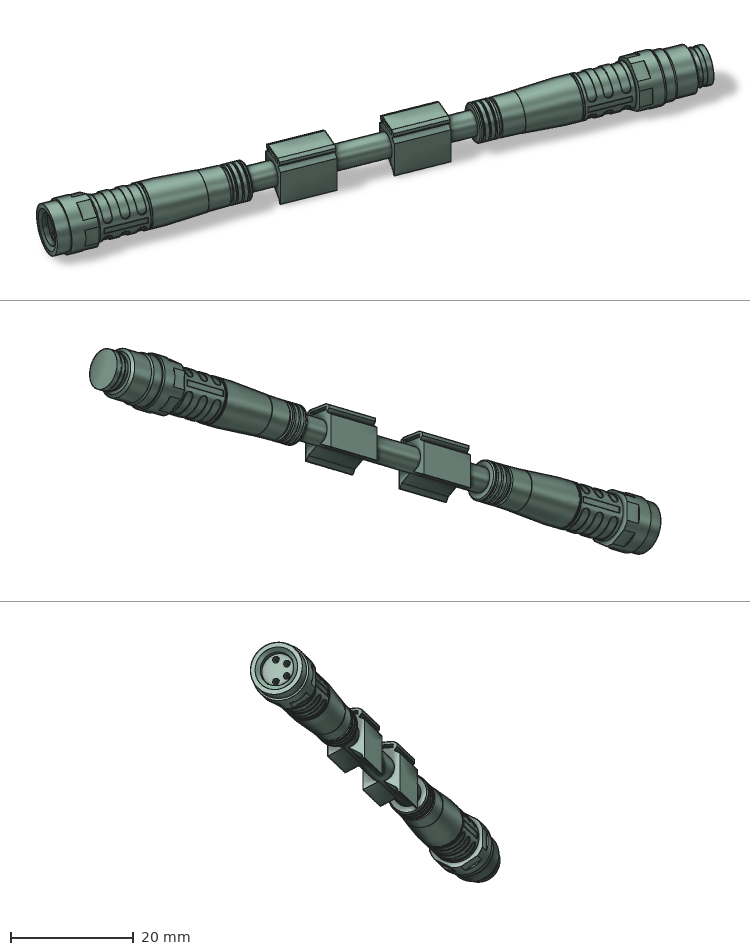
import cadquery as cq
import math

total_length = 116.5
end_y = total_length / 2
cable_diameter = 4.4

grip_diameter = 8.0
grip_recess_diameter = 7.7
taper_start = 12.0
pad_end = 19.3
pad_width = 7.3
pad_thickness = 7.1
taper_end = 23.3
relief_start = 23.9
relief_chamfer_start = 27.0
relief_end = 27.3
relief_diameter = 6.9
relief_end_diameter = 6.4
relief_groove_diameter = 5.9
relief_groove_width = 0.3
relief_groove_centres = (24.5, 25.5, 26.6)
finger_groove_width = 1.6
finger_groove_centres = (1.5, 4.7, 7.6)
finger_groove_gap = 2.6
side_slot_start = 0.7
side_slot_end = 8.5
side_slot_width = 1.0
ring_start = 9.0
ring_end = 9.3

nut_diameter = 9.5
collar_diameter = 8.9
nut_across_flats = 9.0
flat_count = 6

tip_diameter = 6.9
tip_groove_diameter = 6.5
tip_groove_start = 1.0
tip_groove_end = 1.9
plug_neck_diameter = 5.9
sleeve_start = 2.8
sleeve_full = 3.1
sleeve_nose_diameter = 7.2
sleeve_diameter = 8.4
sleeve_end = 6.8
plug_collar_start = 7.1
plug_nut_start = 8.9
plug_nut_nose_diameter = 9.3
plug_nut_full = 9.2
plug_flats_start = 11.3
plug_nut_end = 13.6
plug_gap_diameter = 6.5
plug_grip_start = 14.0

socket_collar_end = 2.5
socket_flats_start = 4.9
socket_nut_end = 7.3
socket_gap_diameter = 5.7
socket_grip_start = 7.8
mouth_diameter = 7.2
insert_diameter = 5.7
mouth_flare_depth = 0.3
mouth_depth = 1.3
contact_diameter = 1.1
contact_depth = 2.3
contact_positions = ((-0.5, 1.9), (-0.5, -1.9), (1.4, 1.0), (1.4, -1.0))

holder_half_width = 3.1
shoulder_height = 2.3
notch_half_width = 2.2
notch_height = 2.9
cap_half_width = 2.7
cap_underside = 3.5
cap_edge_height = 4.1
cap_flat_half_width = 2.0
holder_top = 4.4
leg_bottom = -3.4
leg_throat = -2.0
lip_root_x = 2.5
lip_tip_x = 2.9
lip_bottom = -4.2
holder_length = 10.0
holder_back_ends = (11.9, -8.3)
label_slot_width = 4.0
label_slot_floor = 3.4
label_slot_top = 4.0


def turned(start, end, start_diameter, end_diameter=None):
    """Solid of revolution about Y between two Y stations, straight or tapered."""
    if end_diameter is None:
        end_diameter = start_diameter
    outline = [(0, start), (start_diameter / 2, start), (end_diameter / 2, end), (0, end)]
    return cq.Workplane("XY").polyline(outline).close().revolve(360, (0, 0, 0), (0, 1, 0))


def ring(start, end, outer_diameter, inner_diameter):
    return turned(start, end, outer_diameter).cut(turned(start, end, inner_diameter))


def xz_plane(y):
    """Plane at a Y station whose local axes are X and Z and whose normal is -Y."""
    return cq.Workplane("XZ", origin=(0, y, 0))


def cut_finger_grooves(body):
    """Arched grooves over the top and bottom, stopping short of both sides."""
    half_width = finger_groove_width / 2
    arc_bottom = finger_groove_gap / 2
    shoulder = arc_bottom + half_width
    for centre in finger_groove_centres:
        low_y = centre - half_width
        high_y = centre + half_width
        arch = (
            cq.Workplane("YZ")
            .moveTo(low_y, grip_diameter)
            .lineTo(low_y, shoulder)
            .threePointArc((centre, arc_bottom), (high_y, shoulder))
            .lineTo(high_y, grip_diameter)
            .close()
            .extrude(grip_diameter, both=True)
        )
        band = ring(low_y, high_y, nut_diameter, grip_recess_diameter)
        upper = band.intersect(arch)
        body = body.cut(upper).cut(upper.mirror("XY"))
    return body


def cut_side_slots(body):
    """Flat-bottomed slots along the middle of both sides."""
    depth = (grip_diameter - grip_recess_diameter) / 2
    for side in (-1, 1):
        slot = cq.Workplane("XY").box(2 * depth, side_slot_end - side_slot_start, side_slot_width)
        centre_x = side * (grip_recess_diameter / 2 + depth)
        body = body.cut(slot.translate((centre_x, (side_slot_start + side_slot_end) / 2, 0)))
    return body


def grip():
    """Moulded grip with its front face at Y = 0, running toward +Y."""
    barrel = turned(0, taper_start, grip_diameter)
    barrel = barrel.cut(ring(ring_start, ring_end, nut_diameter, grip_recess_diameter))
    barrel = cut_side_slots(cut_finger_grooves(barrel))
    pads = (
        xz_plane(taper_start)
        .ellipse(grip_diameter / 2, grip_diameter / 2)
        .workplane(offset=taper_start - pad_end)
        .ellipse(pad_width / 2, pad_thickness / 2)
        .loft()
    )
    tail = turned(pad_end, taper_end, pad_thickness, relief_diameter)
    core = turned(taper_end, relief_start, relief_groove_diameter)
    relief = turned(relief_start, relief_chamfer_start, relief_diameter)
    chamfer = turned(relief_chamfer_start, relief_end, relief_diameter, relief_end_diameter)
    for centre in relief_groove_centres:
        half_width = relief_groove_width / 2
        groove = ring(centre - half_width, centre + half_width, nut_diameter, relief_groove_diameter)
        relief = relief.cut(groove)
    return barrel.union(pads).union(tail).union(core).union(relief).union(chamfer)


def with_flats(nut, start, end):
    """Cut spanner flats around a nut between two stations, one facing each side."""
    corner_diameter = nut_across_flats / math.cos(math.pi / flat_count)
    prism = xz_plane(start).polygon(flat_count, corner_diameter).extrude(start - end)
    prism = prism.rotate((0, 0, 0), (0, 1, 0), 180 / flat_count)
    waste = turned(start, end, 2 * nut_diameter).cut(prism)
    return nut.cut(waste)


def plug():
    """Plug with its tip at Y = 0, running toward +Y."""
    tip = turned(0, tip_groove_end, tip_diameter)
    tip = tip.cut(ring(tip_groove_start, tip_groove_end, nut_diameter, tip_groove_diameter))
    neck = turned(tip_groove_end, sleeve_start, tip_diameter, plug_neck_diameter)
    nose = turned(sleeve_start, sleeve_full, sleeve_nose_diameter, sleeve_diameter)
    sleeve = turned(sleeve_full, sleeve_end, sleeve_diameter)
    shoulder = turned(sleeve_end, plug_collar_start, sleeve_diameter, collar_diameter)
    collar = turned(plug_collar_start, plug_nut_start, collar_diameter)
    nut_nose = turned(plug_nut_start, plug_nut_full, plug_nut_nose_diameter, nut_diameter)
    nut = turned(plug_nut_full, plug_nut_end, nut_diameter)
    nut = with_flats(nut, plug_flats_start, plug_nut_end)
    gap = turned(plug_nut_end, plug_grip_start, plug_gap_diameter)
    body = grip().translate((0, plug_grip_start, 0))
    for section in (neck, nose, sleeve, shoulder, collar, nut_nose, nut, gap, body):
        tip = tip.union(section)
    return tip


def socket():
    """Socket with its mouth at Y = 0, running toward +Y."""
    collar = turned(0, socket_collar_end, collar_diameter)
    nut = turned(socket_collar_end, socket_nut_end, nut_diameter)
    nut = with_flats(nut, socket_flats_start, socket_nut_end)
    gap = turned(socket_nut_end, socket_grip_start, socket_gap_diameter)
    body = grip().translate((0, socket_grip_start, 0))
    flare = turned(0, mouth_flare_depth, mouth_diameter, insert_diameter)
    mouth = turned(0, mouth_depth, insert_diameter).union(flare)
    contacts = (
        xz_plane(mouth_depth)
        .pushPoints(contact_positions)
        .circle(contact_diameter / 2)
        .extrude(-contact_depth)
    )
    return collar.union(nut).union(gap).union(body).cut(mouth).cut(contacts)


def marker_holder(back_y):
    """Clip around the cable: a slotted cap on top, one longer flared leg below."""
    right_side = [
        (cap_flat_half_width, holder_top),
        (cap_half_width, cap_edge_height),
        (cap_half_width, cap_underside),
        (notch_half_width, notch_height),
        (holder_half_width, shoulder_height),
    ]
    left_side = [(-x, z) for x, z in right_side]
    left_leg = [(-holder_half_width, leg_bottom), (0, leg_throat)]
    right_leg = [(lip_root_x, leg_bottom), (lip_tip_x, lip_bottom), (holder_half_width, lip_bottom)]
    outline = left_side + left_leg + right_leg + right_side[::-1]
    holder = xz_plane(back_y).polyline(outline).close().extrude(holder_length)
    label_slot = (
        xz_plane(back_y)
        .center(0, (label_slot_floor + label_slot_top) / 2)
        .rect(label_slot_width, label_slot_top - label_slot_floor)
        .extrude(holder_length)
    )
    return holder.cut(label_slot)


plug_end = plug().mirror("XZ").translate((0, end_y, 0))
socket_end = socket().translate((0, -end_y, 0))
cable_start = -end_y + socket_grip_start + relief_end
cable_end = end_y - plug_grip_start - relief_end
result = turned(cable_start, cable_end, cable_diameter).union(plug_end).union(socket_end)
for back_end in holder_back_ends:
    result = result.union(marker_holder(back_end))